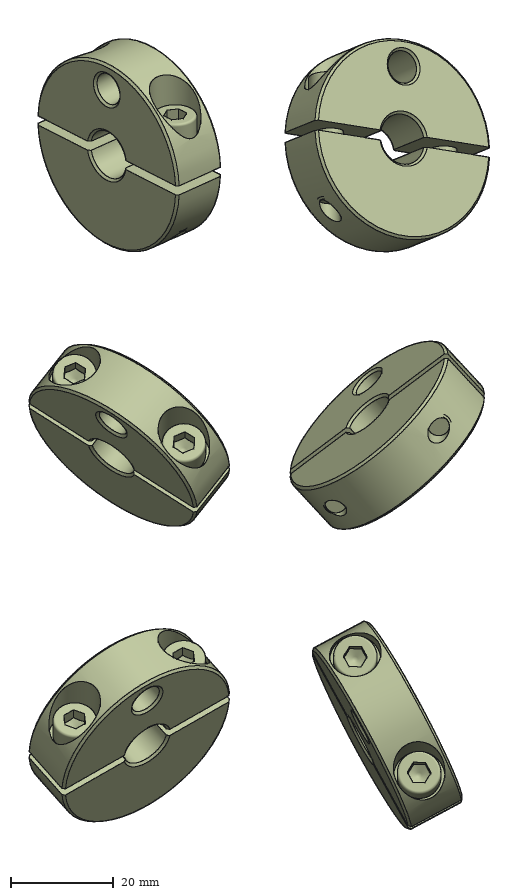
import cadquery as cq
import math

COLLAR_RADIUS = 20.0
COLLAR_WIDTH = 12.0
BORE_RADIUS = 5.0
SPLIT_GAP = 2.0
EDGE_CHAMFER = 0.5

UPPER_HOLE_RADIUS = 3.25
UPPER_HOLE_Z = 14.5

SCREW_OFFSET_X = 13.0
THREAD_RADIUS = 2.5
CORE_RADIUS = 2.1
HEAD_RADIUS = 4.25
HEAD_HEIGHT = 5.0
HEAD_ROUND = 0.5
SHANK_LENGTH = 20.0
TIP_CHAMFER = THREAD_RADIUS - CORE_RADIUS

SOCKET_ACROSS_FLATS = 4.0
SOCKET_DEPTH = 2.5
SOCKET_CONE_ANGLE = 120.0
SOCKET_CORNER_RADIUS = SOCKET_ACROSS_FLATS / math.sqrt(3)
SOCKET_CONE_DEPTH = SOCKET_CORNER_RADIUS / math.tan(math.radians(SOCKET_CONE_ANGLE / 2))

COUNTERBORE_RADIUS = 5.0
SEAT_Z = 7.0
HEAD_TOP_Z = SEAT_Z + HEAD_HEIGHT
SHANK_END_Z = SEAT_Z - SHANK_LENGTH

SCREW_POSITIONS = (-SCREW_OFFSET_X, SCREW_OFFSET_X)


def vertical_cylinder(x, radius, bottom, top):
    return cq.Workplane("XY", origin=(x, 0, bottom)).circle(radius).extrude(top - bottom)


def chamfered_hole(radius, z):
    """Cutter for a hole along Y that is chamfered at both faces of the collar."""
    half_width = COLLAR_WIDTH / 2
    mouth_radius = radius + EDGE_CHAMFER
    profile = [
        (0, -half_width),
        (mouth_radius, -half_width),
        (radius, -half_width + EDGE_CHAMFER),
        (radius, half_width - EDGE_CHAMFER),
        (mouth_radius, half_width),
        (0, half_width),
    ]
    cutter = cq.Workplane("XY").polyline(profile).close().revolve(360, (0, 0), (0, 1))
    return cutter.translate((0, 0, z))


def screw_blank(x):
    """Screw without its socket: rounded head, shank and chamfered tip."""
    head = vertical_cylinder(x, HEAD_RADIUS, SEAT_Z, HEAD_TOP_Z).faces(">Z").edges().fillet(HEAD_ROUND)
    shank = vertical_cylinder(x, THREAD_RADIUS, SHANK_END_Z, SEAT_Z)
    shank = shank.faces("<Z").edges().chamfer(TIP_CHAMFER)
    return head.union(shank)


def hex_socket(x):
    """Cutter for the socket: a hexagonal prism bounded below by a cone."""
    cone_top_z = HEAD_TOP_Z - SOCKET_DEPTH
    cone_tip_z = cone_top_z - SOCKET_CONE_DEPTH
    prism = (
        cq.Workplane("XY", origin=(x, 0, cone_tip_z))
        .polygon(6, 2 * SOCKET_CORNER_RADIUS)
        .extrude(HEAD_TOP_Z - cone_tip_z)
    )
    profile = [
        (0, cone_tip_z),
        (SOCKET_CORNER_RADIUS, cone_top_z),
        (SOCKET_CORNER_RADIUS, HEAD_TOP_Z),
        (0, HEAD_TOP_Z),
    ]
    pointed_cylinder = cq.Workplane("XZ").polyline(profile).close().revolve(360, (0, 0), (0, 1))
    return prism.intersect(pointed_cylinder.translate((x, 0, 0)))


def make_screw(x):
    return screw_blank(x).cut(hex_socket(x))


def collar_half(side):
    """Plain half of the bored ring: side is 1 for the upper half, -1 for the lower half."""
    ring = (
        cq.Workplane("XZ")
        .circle(COLLAR_RADIUS)
        .extrude(COLLAR_WIDTH / 2, both=True)
        .edges()
        .chamfer(EDGE_CHAMFER)
        .cut(chamfered_hole(BORE_RADIUS, 0))
    )
    keep_height = COLLAR_RADIUS - SPLIT_GAP / 2
    keep_center_z = side * (COLLAR_RADIUS + SPLIT_GAP / 2) / 2
    keep = cq.Workplane("XY").box(2 * COLLAR_RADIUS, COLLAR_WIDTH, keep_height)
    return ring.intersect(keep.translate((0, 0, keep_center_z)))


def make_upper_half():
    half = collar_half(1).cut(chamfered_hole(UPPER_HOLE_RADIUS, UPPER_HOLE_Z))
    for x in SCREW_POSITIONS:
        half = half.cut(vertical_cylinder(x, COUNTERBORE_RADIUS, SEAT_Z, COLLAR_RADIUS))
        half = half.cut(vertical_cylinder(x, THREAD_RADIUS, 0, SEAT_Z))
    return half


def make_lower_half():
    half = collar_half(-1)
    for x in SCREW_POSITIONS:
        half = half.cut(vertical_cylinder(x, CORE_RADIUS, -COLLAR_RADIUS, 0))
        half = half.cut(screw_blank(x))
    return half


upper_half = make_upper_half()
lower_half = make_lower_half()
screws = [make_screw(x) for x in SCREW_POSITIONS]

result = cq.Compound.makeCompound(
    [upper_half.val(), lower_half.val(), *[screw.val() for screw in screws]]
)